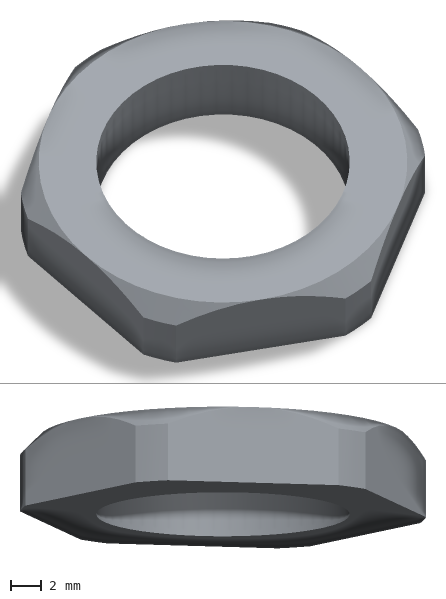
import math

import cadquery as cq

SIDES = 6
ACROSS_FLATS = 24.0
THICKNESS = 5.0
BORE_DIAMETER = 16.5
CORNER_DIAMETER = 26.513

CHAMFER = (CORNER_DIAMETER - ACROSS_FLATS) / 2


def hexagonal_prism():
    """Hexagon standing on Z = 0 with two corners on the X axis."""
    across_corners = ACROSS_FLATS / math.cos(math.pi / SIDES)
    return cq.Workplane("XY").polygon(SIDES, across_corners).extrude(THICKNESS)


def turned_envelope():
    """Cylinder that rounds the corners, with a chamfered top edge."""
    return cq.Workplane("XY").circle(CORNER_DIAMETER / 2).extrude(THICKNESS).faces(">Z").chamfer(CHAMFER)


def bore():
    """Plain through bore."""
    return cq.Workplane("XY").circle(BORE_DIAMETER / 2).extrude(THICKNESS)


result = hexagonal_prism().intersect(turned_envelope()).cut(bore())